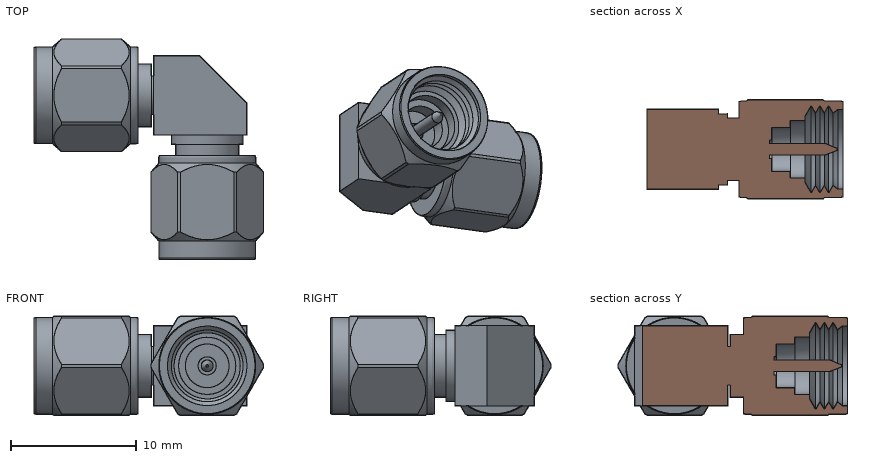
import cadquery as cq
import math

block_left = -4.27
block_right = 3.17
block_depth = 6.35
block_height = 6.4
corner_cut = 3.78

nut_length = 8.33
hex_across_flats = 7.92
hex_across_corners = 9.0
hex_start = 1.49
hex_end = 7.7
bevel_length = 0.72
barrel_diameter = 7.74
rear_barrel_diameter = 7.75
front_chamfer = 0.15
front_chamfer_radial = 0.05
rear_chamfer = 0.18
rear_chamfer_radial = 0.05

mouth_diameter = 6.35
crest_diameter = 5.72
mouth_length = 0.42
mouth_taper_length = 0.39
thread_pitch = 0.7
crest_count = 4
thread_angle = 60
thread_depth = thread_pitch / 2 / math.tan(math.radians(thread_angle / 2))
floor_diameter = 5.28
floor_taper_length = 0.13
first_crest = mouth_length + mouth_taper_length
last_crest = first_crest + thread_pitch * (crest_count - 1)
bore_depth = last_crest + floor_taper_length

sleeve_diameter = 4.57
sleeve_depth = 1.2
socket_diameter = 3.48
socket_depth = 1.47
pin_hole_diameter = 1.45
pin_hole_depth = 0.18
pin_diameter = 0.94
pin_tip_diameter = 0.18
pin_tip_depth = 0.45
pin_cone_length = 0.92

neck_diameter = 5.05
thin_neck_diameter = 3.1
collar_diameter = 5.72
side_end = 13.838
front_end = 13.122
thin_neck_length = 0.18
collar_length = 0.73

def cylinder(diameter, start, end):
    """Cylinder along +Z between two distances from the open end."""
    return cq.Workplane("XY").workplane(offset=start).circle(diameter / 2).extrude(end - start)

def revolved(profile):
    """Solid of revolution about Z from (radius, distance) points."""
    return cq.Workplane("XZ").polyline(profile).close().revolve(360, (0, 0, 0), (0, 1, 0))

def nut_body():
    """Bevelled hexagon on a round barrel."""
    barrel_radius = barrel_diameter / 2
    rear_radius = rear_barrel_diameter / 2
    corner_radius = hex_across_corners / 2
    barrel = revolved([
        (0, 0),
        (barrel_radius - front_chamfer_radial, 0),
        (barrel_radius, front_chamfer),
        (barrel_radius, hex_start),
        (rear_radius, hex_end),
        (rear_radius, nut_length - rear_chamfer),
        (rear_radius - rear_chamfer_radial, nut_length),
        (0, nut_length),
    ])
    corner_diameter = hex_across_flats / math.cos(math.pi / 6)
    hexagon = (
        cq.Workplane("XY").workplane(offset=hex_start)
        .polygon(6, corner_diameter).extrude(hex_end - hex_start)
    )
    hexagon = hexagon.intersect(
        cq.Workplane("XY").workplane(offset=hex_start)
        .transformed(rotate=(0, 0, 30))
        .polygon(6, hex_across_corners / math.cos(math.pi / 6)).extrude(hex_end - hex_start)
    )
    bevels = revolved([
        (0, hex_start),
        (barrel_radius, hex_start),
        (corner_radius, hex_start + bevel_length),
        (corner_radius + bevel_length, hex_start + bevel_length),
        (corner_radius + bevel_length, hex_end - bevel_length),
        (corner_radius, hex_end - bevel_length),
        (rear_radius, hex_end),
        (0, hex_end),
    ])
    return barrel.union(hexagon.intersect(bevels))

def nut_bore():
    """Bore with V-shaped thread rings, tapering down to its floor."""
    crest_radius = crest_diameter / 2
    profile = [
        (0, 0),
        (mouth_diameter / 2, 0),
        (mouth_diameter / 2, mouth_length),
        (crest_radius, first_crest),
    ]
    for index in range(1, crest_count):
        crest = first_crest + thread_pitch * index
        profile.append((crest_radius + thread_depth, crest - thread_pitch / 2))
        profile.append((crest_radius, crest))
    profile.append((floor_diameter / 2, bore_depth))
    profile.append((0, bore_depth))
    return revolved(profile)

def contact_pin(end):
    """Pin with a blunt conical tip."""
    return revolved([
        (0, pin_tip_depth),
        (pin_tip_diameter / 2, pin_tip_depth),
        (pin_diameter / 2, pin_tip_depth + pin_cone_length),
        (pin_diameter / 2, end),
        (0, end),
    ])

def connector(length, step_diameter, step_length):
    """Connector along +Z, from its open end to the face of the block."""
    sleeve_end = bore_depth + sleeve_depth
    socket_end = sleeve_end + socket_depth
    pin_hole_end = socket_end + pin_hole_depth
    return (
        nut_body()
        .cut(nut_bore())
        .cut(cylinder(sleeve_diameter, bore_depth, sleeve_end))
        .cut(cylinder(socket_diameter, sleeve_end, socket_end))
        .cut(cylinder(pin_hole_diameter, socket_end, pin_hole_end))
        .union(contact_pin(pin_hole_end))
        .union(cylinder(neck_diameter, nut_length, length - step_length))
        .union(cylinder(step_diameter, length - step_length, length))
    )

def elbow_block():
    """Block with its outer corner cut at 45 degrees."""
    return (
        cq.Workplane("XY").box(block_right - block_left, block_depth, block_height)
        .translate(((block_left + block_right) / 2, 0, 0))
        .edges("|Z and >X and >Y").chamfer(corner_cut)
    )

side_connector = (
    connector(side_end + block_left, thin_neck_diameter, thin_neck_length)
    .rotate((0, 0, 0), (0, 0, 1), 90)
    .rotate((0, 0, 0), (0, 1, 0), 90)
    .translate((-side_end, 0, 0))
)
front_connector = (
    connector(front_end - block_depth / 2, collar_diameter, collar_length)
    .rotate((0, 0, 0), (1, 0, 0), -90)
    .translate((0, -front_end, 0))
)

result = side_connector.union(front_connector).union(elbow_block())